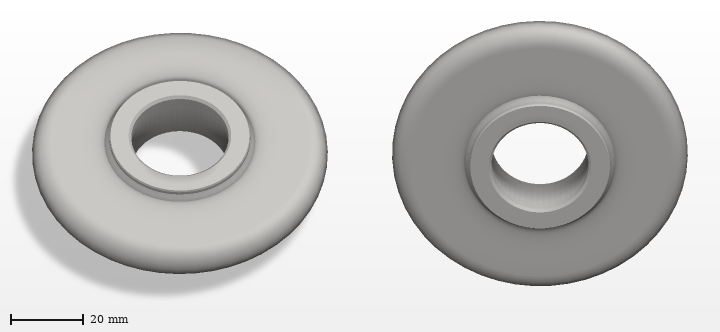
import cadquery as cq

wheel_diameter = 82.0
wheel_thickness = 10.1
rim_band_height = 0.2

hub_length = 16.0
hub_diameter = 39.0
bore_diameter = 27.0
bore_chamfer = 0.7
end_chamfer_width = 0.25
end_chamfer_height = 0.5
flare_base_diameter = 41.8
flare_top_height = 6.6

wheel_radius = wheel_diameter / 2
wheel_half = wheel_thickness / 2
band_half = rim_band_height / 2
rim_round_radius = wheel_half - band_half
hub_half = hub_length / 2
hub_radius = hub_diameter / 2
bore_radius = bore_diameter / 2
flare_base_radius = flare_base_diameter / 2


def revolve_about_z(profile):
    """Turn a closed (radius, height) profile through a full circle about Z."""
    return profile.close().revolve(360, (0, 0, 0), (0, 1, 0))


def make_wheel():
    """Disc whose rim is two quarter rounds joined by a narrow straight band."""
    round_center_radius = wheel_radius - rim_round_radius
    diagonal = rim_round_radius * 0.5**0.5
    arc_middle_radius = round_center_radius + diagonal
    arc_middle_height = band_half + diagonal
    profile = (
        cq.Workplane("XZ")
        .moveTo(flare_base_radius, -wheel_half)
        .lineTo(round_center_radius, -wheel_half)
        .threePointArc((arc_middle_radius, -arc_middle_height), (wheel_radius, -band_half))
        .lineTo(wheel_radius, band_half)
        .threePointArc((arc_middle_radius, arc_middle_height), (round_center_radius, wheel_half))
        .lineTo(flare_base_radius, wheel_half)
    )
    return revolve_about_z(profile)


def make_hub():
    """Sleeve with chamfered ends that flares out to meet the wheel on both faces."""
    upper_outline = [
        (flare_base_radius, wheel_half),
        (hub_radius, flare_top_height),
        (hub_radius, hub_half - end_chamfer_height),
        (hub_radius - end_chamfer_width, hub_half),
        (bore_radius + bore_chamfer, hub_half),
        (bore_radius, hub_half - bore_chamfer),
    ]
    lower_outline = [(radius, -height) for radius, height in reversed(upper_outline)]
    return revolve_about_z(cq.Workplane("XZ").polyline(upper_outline + lower_outline))


wheel = make_wheel()
hub = make_hub()
result = cq.Compound.makeCompound([wheel.val(), hub.val()])